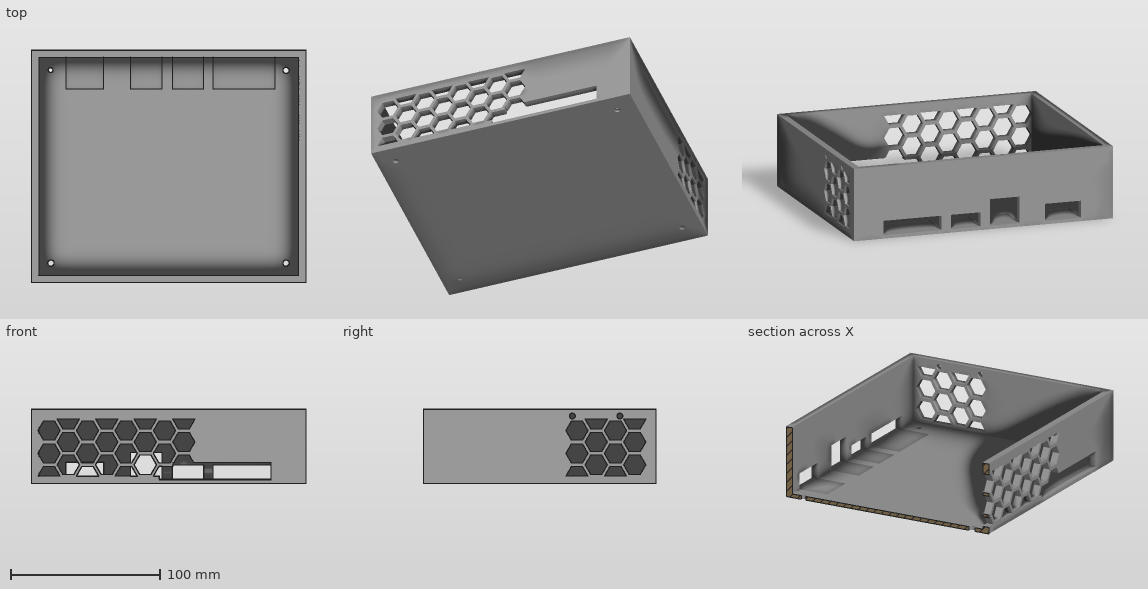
import cadquery as cq
import math

LENGTH = 184.2
WIDTH = 156.0
HEIGHT = 50.0
WALL = 5.0
FLOOR = 3.0
INNER_BACK = WIDTH - WALL

RELIEF_DEPTH = 0.5
RELIEF_REACH = 21.2
SILL = FLOOR - RELIEF_DEPTH
WINDOWS = [
    (23.0, 25.5, 14.2),
    (66.5, 21.0, 20.8),
    (94.5, 21.0, 12.3),
    (122.0, 41.3, 12.3),
]

SLOT_LEFT = 85.8
SLOT_STEP = 95.0
SLOT_RIGHT = 160.6
SLOT_TOP = 14.0
SLOT_LOW_TOP = 11.6

HEX_FLATS = 12.9
HEX_DIAMETER = HEX_FLATS / math.cos(math.pi / 6)
ROW_PITCH = 15.3
COLUMN_WEB = 1.75
COLUMN_PITCH = 0.75 * HEX_DIAMETER + COLUMN_WEB
VENT_BOTTOM = WALL
VENT_TOP = 43.3
FRONT_COLUMNS = 8
FRONT_FIRST_X = 11.8
SIDE_COLUMNS = 4
SIDE_FIRST_Y = 103.0

FAN_SCREW_DIAMETER = 3.9
FAN_SCREW_SPACING = 31.9
FAN_CENTER_Y = 115.8
FAN_SCREW_Z = 45.3

HOLES = [
    (12.9, 142.5, 3.1),
    (170.7, 142.4, 4.0),
    (13.0, 13.0, 4.0),
    (170.7, 13.0, 4.0),
]


def block(x0, x1, y0, y1, z0, z1):
    """Box given by its two limits along each axis."""
    return cq.Workplane("XY").box(x1 - x0, y1 - y0, z1 - z0, centered=False).translate((x0, y0, z0))


def honeycomb(plane, first, columns):
    """Hexagonal prisms one wall thick, trimmed to the vent band, on a plane whose local y is height."""
    rows = math.ceil(VENT_TOP / ROW_PITCH) + 1
    centers = []
    for column in range(columns):
        lift = ROW_PITCH / 2 if column % 2 else 0
        for row in range(rows):
            centers.append((first + column * COLUMN_PITCH, VENT_BOTTOM + lift + row * ROW_PITCH))
    prisms = cq.Workplane(plane).pushPoints(centers).polygon(6, HEX_DIAMETER).extrude(-WALL)
    return prisms.intersect(block(0, LENGTH, 0, WIDTH, VENT_BOTTOM, VENT_TOP))


def tray():
    outer = block(0, LENGTH, 0, WIDTH, 0, HEIGHT)
    return outer.cut(block(WALL, LENGTH - WALL, WALL, INNER_BACK, FLOOR, HEIGHT))


def back_window(left, width, top):
    right = left + width
    opening = block(left, right, INNER_BACK, WIDTH, SILL, top)
    relief = block(left, right, INNER_BACK - RELIEF_REACH, INNER_BACK, SILL, FLOOR)
    return opening.union(relief)


def front_slot():
    low_part = block(SLOT_LEFT, SLOT_STEP, 0, WALL, SILL, SLOT_LOW_TOP)
    return low_part.union(block(SLOT_STEP, SLOT_RIGHT, 0, WALL, SILL, SLOT_TOP))


def fan_screws(plane):
    """Two screw holes one wall thick, side by side above the vent."""
    holes = cq.Workplane(plane).center(FAN_CENTER_Y, FAN_SCREW_Z).rarray(FAN_SCREW_SPACING, 1.8, 2, 1)
    return holes.circle(FAN_SCREW_DIAMETER / 2).extrude(-WALL)


front_face = cq.Plane(origin=(0, 0, 0), xDir=(1, 0, 0), normal=(0, -1, 0))
right_face = cq.Plane(origin=(LENGTH, 0, 0), xDir=(0, 1, 0), normal=(1, 0, 0))

result = tray()
for left, width, top in WINDOWS:
    result = result.cut(back_window(left, width, top))
result = result.cut(front_slot())
result = result.cut(honeycomb(front_face, FRONT_FIRST_X, FRONT_COLUMNS))
result = result.cut(honeycomb(right_face, SIDE_FIRST_Y, SIDE_COLUMNS))
result = result.cut(fan_screws(right_face))
for x, y, diameter in HOLES:
    result = result.cut(cq.Workplane("XY").center(x, y).circle(diameter / 2).extrude(FLOOR))